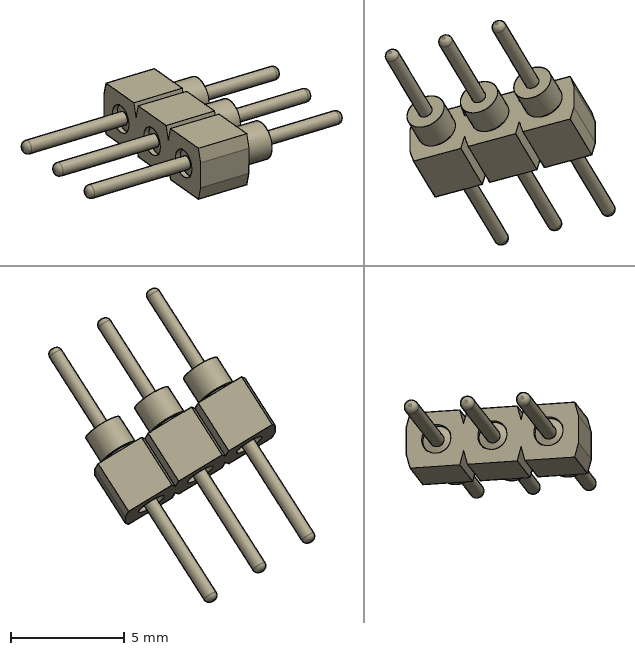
import cadquery as cq

pin_count = 3
overall_width = 7.82
segment_width = overall_width / pin_count
housing_height = 2.55
housing_front = -1.56
housing_back = 1.0
bevel_width = 0.17
bevel_height = 0.65

pin_pitch = 2.55
pin_length = 13.46
pin_radius = 0.63 / 2
tip_length = 0.25
tip_flat_radius = pin_radius - tip_length
sleeve_radius = 1.32 / 2
collar_radius = 1.78 / 2
collar_front = 1.2
collar_back = 2.53
nose_setback = 0.15
nose_front = housing_front + nose_setback
nose_length = 0.11


def row_positions(pitch):
    """X positions of a row centred on the origin."""
    return [(i - (pin_count - 1) / 2) * pitch for i in range(pin_count)]


def extrude_along_y(sketch):
    """Extrude a sketch on the housing front face to its back face."""
    return sketch.extrude(-(housing_back - housing_front))


def front_plane():
    return cq.Workplane("XZ", origin=(0, housing_front, 0))


def make_segment(x):
    """One housing segment with all four long edges bevelled."""
    side = segment_width / 2
    top = housing_height / 2
    flat_side = side - bevel_width
    bevel_start = top - bevel_height
    outline = [
        (x - side, -bevel_start),
        (x - flat_side, -top),
        (x + flat_side, -top),
        (x + side, -bevel_start),
        (x + side, bevel_start),
        (x + flat_side, top),
        (x - flat_side, top),
        (x - side, bevel_start),
    ]
    return extrude_along_y(front_plane().polyline(outline).close())


def make_housing():
    """Joined segments with a through bore for each pin sleeve."""
    body = cq.Workplane("XY")
    for x in row_positions(segment_width):
        body = body.union(make_segment(x))
    for x in row_positions(pin_pitch):
        bore = extrude_along_y(front_plane().center(x, 0).circle(sleeve_radius))
        body = body.cut(bore)
    return body


def make_pin(x):
    """Revolved pin with rounded tips, a cone-nosed sleeve in the housing and a rear collar."""
    end = pin_length / 2
    shoulder = end - tip_length
    bulge_radius = tip_flat_radius + tip_length * 0.5**0.5
    bulge_end = shoulder + tip_length * 0.5**0.5
    profile = (
        cq.Workplane("XY")
        .moveTo(0, -end)
        .lineTo(tip_flat_radius, -end)
        .threePointArc((bulge_radius, -bulge_end), (pin_radius, -shoulder))
        .lineTo(pin_radius, nose_front)
        .lineTo(sleeve_radius, nose_front + nose_length)
        .lineTo(sleeve_radius, collar_front)
        .lineTo(collar_radius, collar_front)
        .lineTo(collar_radius, collar_back)
        .lineTo(pin_radius, collar_back)
        .lineTo(pin_radius, shoulder)
        .threePointArc((bulge_radius, bulge_end), (tip_flat_radius, end))
        .lineTo(0, end)
        .close()
    )
    return profile.revolve(360, (0, 0, 0), (0, 1, 0)).translate((x, 0, 0))


housing = make_housing()
pins = [make_pin(x) for x in row_positions(pin_pitch)]

result = cq.Compound.makeCompound([housing.val(), *[pin.val() for pin in pins]])